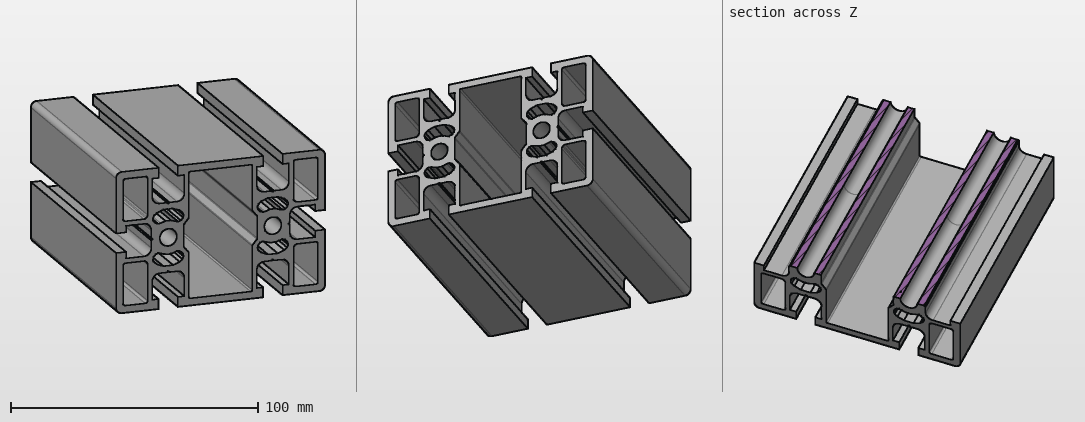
import cadquery as cq

length = 100.0
width = 90.0
height = 60.0
corner_radius = 2.5
wall = 3.1

slot_mouth = 8.3
slot_inner_width = 13.8
lip_thickness = 4.3
slot_depth = 15.2
slot_corner_radius = 3.2
groove_width = 1.0
groove_depth = 0.5

core_y = width / 4
bore_diameter = 7.3

kidney_half_outline = [
    (2.1, 12.0),
    (4.9, 10.9),
    (6.1, 9.9),
    (6.6, 8.8),
    (6.4, 7.7),
    (5.4, 6.6),
    (4.3, 6.2),
    (3.3, 6.4),
    (1.2, 7.1),
]

chamber_width = 10.5
chamber_height = 18.0
chamber_radius = 1.0
chamber_bevel = 1.1
chamber_bevel_radius = 1.2

center_width = 27.2
waist_width = 31.6
waist_height = 9.6
waist_bevel_height = 2.6
center_radius = 0.6

half_width = width / 2
half_height = height / 2
slot_half_mouth = slot_mouth / 2
slot_half_inner = slot_inner_width / 2


def prism(outline):
    """Extrude a closed YZ outline over the full length, centred on X."""
    return outline.extrude(length / 2, both=True)


def slot_cutter(face):
    """T-slot opening toward +Z at the given face, with rounded floor corners."""
    floor = face - slot_depth
    lip = face - lip_thickness
    floor_edge = slot_half_inner - slot_corner_radius
    wall_end = floor + slot_corner_radius
    return prism(
        cq.Workplane("YZ")
        .moveTo(-slot_half_mouth, face)
        .lineTo(-slot_half_mouth, lip)
        .lineTo(-slot_half_inner, lip)
        .lineTo(-slot_half_inner, wall_end)
        .radiusArc((-floor_edge, floor), -slot_corner_radius)
        .lineTo(-groove_width / 2, floor)
        .lineTo(0, floor - groove_depth)
        .lineTo(groove_width / 2, floor)
        .lineTo(floor_edge, floor)
        .radiusArc((slot_half_inner, wall_end), -slot_corner_radius)
        .lineTo(slot_half_inner, lip)
        .lineTo(slot_half_mouth, lip)
        .lineTo(slot_half_mouth, face)
        .close()
    )


def kidney_cutter():
    """Curved, faceted slot above the bore at the origin."""
    mirrored_half = [(-y, z) for y, z in reversed(kidney_half_outline)]
    outline = kidney_half_outline + mirrored_half
    return prism(cq.Workplane("YZ").polyline(outline).close())


def chamber_cutter():
    """Corner chamber at +Y +Z, its innermost edge bevelled and softened."""
    y = half_width - wall - chamber_width / 2
    z = half_height - wall - chamber_height / 2
    block = cq.Workplane("XY").box(length, chamber_width, chamber_height).translate((0, y, z))
    block = block.edges("|X").edges(">Y or >Z").fillet(chamber_radius)
    block = block.edges("|X").edges("<Y and <Z").chamfer(chamber_bevel)
    bevel_edges = block.faces("<(0, 1, 1)").edges("|X")
    return bevel_edges.fillet(chamber_bevel_radius)


def center_cutter():
    """Central chamber: a tall opening crossed by a wider, bevelled waist."""
    tall = cq.Workplane("XY").box(length, center_width, height - 2 * wall)
    bevel_top = waist_height / 2 + waist_bevel_height
    waist = cq.Workplane("YZ").polyline(
        [
            (-center_width / 2, -bevel_top),
            (center_width / 2, -bevel_top),
            (waist_width / 2, -waist_height / 2),
            (waist_width / 2, waist_height / 2),
            (center_width / 2, bevel_top),
            (-center_width / 2, bevel_top),
            (-waist_width / 2, waist_height / 2),
            (-waist_width / 2, -waist_height / 2),
        ]
    ).close()
    opening = tall.union(prism(waist)).clean()
    return opening.edges("|X").fillet(center_radius)


result = cq.Workplane("XY").box(length, width, height).edges("|X").fillet(corner_radius)
result = result.cut(center_cutter())

side_slot = slot_cutter(half_width)
for turn in (-90, 90):
    result = result.cut(side_slot.rotate((0, 0, 0), (1, 0, 0), turn))

top_slot = slot_cutter(half_height)
upper_cutters = top_slot.union(kidney_cutter())
bore = prism(cq.Workplane("YZ").circle(bore_diameter / 2))
core_cutters = upper_cutters.union(upper_cutters.mirror("XY")).union(bore)
for y in (-core_y, core_y):
    result = result.cut(core_cutters.translate((0, y, 0)))

side_chambers = chamber_cutter().union(chamber_cutter().mirror("XY"))
result = result.cut(side_chambers).cut(side_chambers.mirror("XZ"))